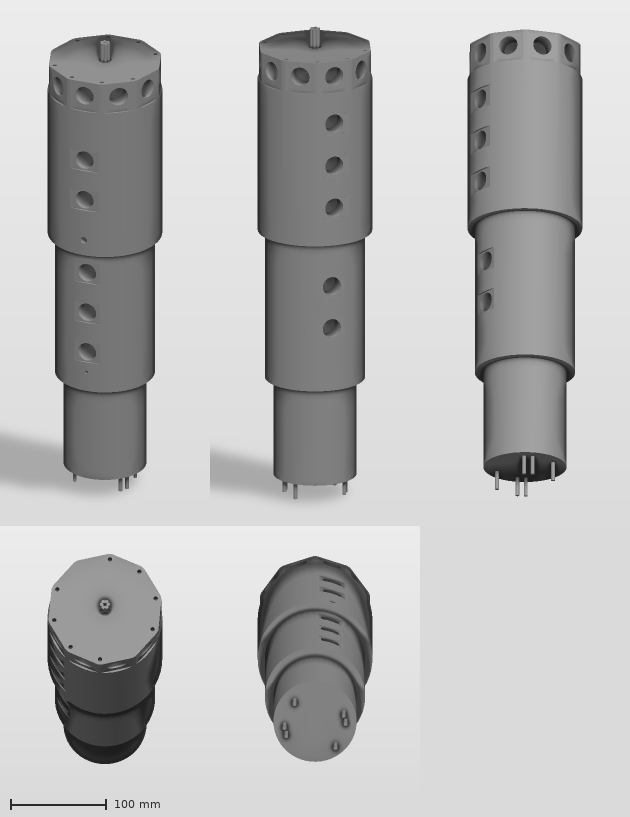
import cadquery as cq
import math

total_height = 507.4
pin_length = 20.0
foot_length = 106.0
mid_length = 161.0
upper_length = 167.0
wire_length = 20.0
foot_bottom = pin_length
mid_bottom = foot_bottom + foot_length
upper_bottom = mid_bottom + mid_length
head_bottom = upper_bottom + upper_length
head_top = total_height - wire_length
head_height = head_top - head_bottom

foot_radius = 43.5
mid_radius = 52.5
upper_radius = 60.0

port_diameter = 20.0
port_depth = 18.0
drill_tip_angle = 118.0
window_height = 23.0
cut_margin = 1.0
flat_depth_upper = 2.3
flat_depth_mid = 2.0

head_flat_count = 10
head_port_drop = 16.0
screw_hole_diameter = 4.5
screw_hole_depth = 10.0
screw_circle_radius = 54.3

upper_row_top = 419.5
mid_row_top = 262.5
port_row_count = 5

upper_vent_diameter = 7.0
mid_vent_diameter = 4.0
vent_depth = 8.0

wire_count = 6
wire_radius = 1.8
wire_circle_radius = 3.5
outlet_radius = 7.0
outlet_depth = 2.0

pin_radius = 2.0
pin_circle_radius = 32.0
pin_pair_half_angle = 8.0
pin_pair_angles = (150, 330)
single_pin_angles = (30, 210)

FRONT = -90
BACK = 90


def cylinder(radius, bottom, height):
    return cq.Workplane("XY").workplane(offset=bottom).circle(radius).extrude(height)


def place(tool, angle, z):
    """Turn a tool that points along +X to the given angle and lift it to z."""
    return tool.rotate((0, 0, 0), (0, 0, 1), angle).translate((0, 0, z))


def radial_hole(face_distance, diameter, depth):
    """Blind drilled hole entering along -X, with a conical bottom."""
    radius = diameter / 2
    tip_length = radius / math.tan(math.radians(drill_tip_angle / 2))
    bottom = face_distance - depth
    return (
        cq.Workplane("XY")
        .moveTo(bottom - tip_length, 0)
        .lineTo(bottom, radius)
        .lineTo(upper_radius, radius)
        .lineTo(upper_radius, 0)
        .close()
        .revolve(360, (0, 0, 0), (1, 0, 0))
    )


def flat_cut(face_distance, height):
    """Block that trims the round body back to a flat at face_distance."""
    thickness = upper_radius - face_distance + cut_margin
    return cq.Workplane("XY").box(thickness, upper_radius, height).translate(
        (face_distance + thickness / 2, 0, 0)
    )


def cut_port(body, face_distance, angle, z):
    body = body.cut(place(flat_cut(face_distance, window_height), angle, z))
    return body.cut(place(radial_hole(face_distance, port_diameter, port_depth), angle, z))


def cut_port_row(body, face_distance, top_z, count, first_side):
    for index in range(count):
        side = first_side if index % 2 == 0 else -first_side
        body = cut_port(body, face_distance, side, top_z - index * window_height)
    return body


def cut_vent(body, face_radius, diameter, z):
    return body.cut(place(radial_hole(face_radius, diameter, vent_depth), FRONT, z))


def make_head():
    head = cylinder(upper_radius, head_bottom, head_height)
    face_distance = upper_radius - flat_depth_upper
    step = 360 / head_flat_count
    flat = flat_cut(face_distance, head_height)
    port = radial_hole(face_distance, port_diameter, port_depth)
    for index in range(head_flat_count):
        angle = FRONT + index * step
        head = head.cut(place(flat, angle, head_bottom + head_height / 2))
        head = head.cut(place(port, angle, head_top - head_port_drop))

    screw_hole = cylinder(screw_hole_diameter / 2, head_top - screw_hole_depth, screw_hole_depth)
    screw_hole = screw_hole.translate((screw_circle_radius, 0, 0))
    for index in range(head_flat_count):
        on_x_axis = index % (head_flat_count // 2) == 0
        if on_x_axis:
            continue
        head = head.cut(place(screw_hole, index * step, 0))

    outlet = cylinder(outlet_radius, head_top - outlet_depth, outlet_depth)
    head = head.cut(outlet)
    wire = cylinder(wire_radius, head_top - outlet_depth, wire_length + outlet_depth)
    wire = wire.translate((wire_circle_radius, 0, 0))
    for index in range(wire_count):
        head = head.union(place(wire, index * 360 / wire_count, 0))
    return head


def make_upper():
    upper = cylinder(upper_radius, upper_bottom, upper_length)
    face_distance = upper_radius - flat_depth_upper
    upper = cut_port_row(upper, face_distance, upper_row_top, port_row_count, BACK)
    vent_z = upper_row_top - port_row_count * window_height
    return cut_vent(upper, upper_radius, upper_vent_diameter, vent_z)


def make_mid():
    mid = cylinder(mid_radius, mid_bottom, mid_length)
    face_distance = mid_radius - flat_depth_mid
    mid = cut_port_row(mid, face_distance, mid_row_top, port_row_count, FRONT)
    vent_z = mid_row_top - port_row_count * window_height
    return cut_vent(mid, mid_radius, mid_vent_diameter, vent_z)


def make_foot():
    foot = cylinder(foot_radius, foot_bottom, foot_length)
    pin = cylinder(pin_radius, 0, pin_length).translate((pin_circle_radius, 0, 0))
    angles = list(single_pin_angles)
    for angle in pin_pair_angles:
        angles += [angle - pin_pair_half_angle, angle + pin_pair_half_angle]
    for angle in angles:
        foot = foot.union(place(pin, angle, 0))
    return foot


result = make_foot().union(make_mid()).union(make_upper()).union(make_head())